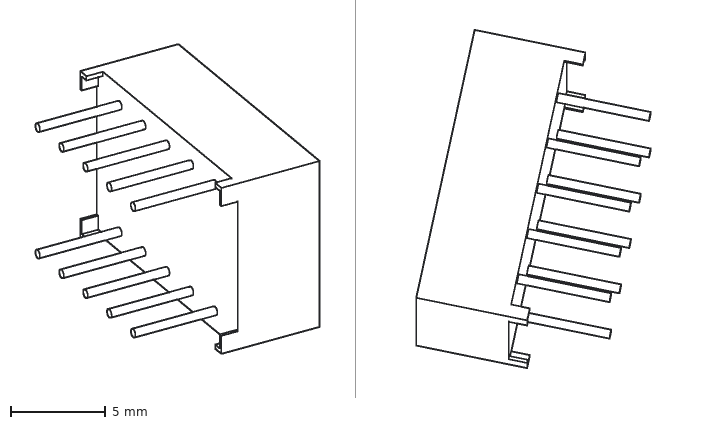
import cadquery as cq

body_width = 15.0
body_height = 10.0
overall_depth = 10.0
body_depth = overall_depth / 2

foot_length = 1.0
foot_arm_x = 0.68
foot_arm_z = 1.1
foot_side_wall = 0.18
foot_end_wall = 0.25

pin_diameter = 0.5
pin_length = overall_depth - body_depth
pin_pitch = 2.54
pins_per_row = 5
pin_rows = 2
row_spacing = 7.62


def make_body():
    """Plain block whose pin face lies on the plane Y = 0."""
    return cq.Workplane("XY").box(body_width, body_depth, body_height, centered=(True, False, True))


def make_foot(side_x, side_z):
    """L-shaped foot flush with the outer corner on the given sides (+1 or -1)."""
    corner_x = side_x * body_width / 2
    corner_z = side_z * body_height / 2
    arm_end_x = corner_x - side_x * foot_arm_x
    arm_end_z = corner_z - side_z * foot_arm_z
    inner_x = corner_x - side_x * foot_side_wall
    inner_z = corner_z - side_z * foot_end_wall
    outline = [
        (corner_x, corner_z),
        (arm_end_x, corner_z),
        (arm_end_x, inner_z),
        (inner_x, inner_z),
        (inner_x, arm_end_z),
        (corner_x, arm_end_z),
    ]
    return cq.Workplane("XZ").polyline(outline).close().extrude(foot_length)


def make_pins():
    """Round pins standing straight out of the pin face."""
    return (
        cq.Workplane("XZ")
        .rarray(pin_pitch, row_spacing, pins_per_row, pin_rows)
        .circle(pin_diameter / 2)
        .extrude(pin_length)
    )


result = make_body().union(make_pins())
for side_x in (-1, 1):
    for side_z in (-1, 1):
        result = result.union(make_foot(side_x, side_z))